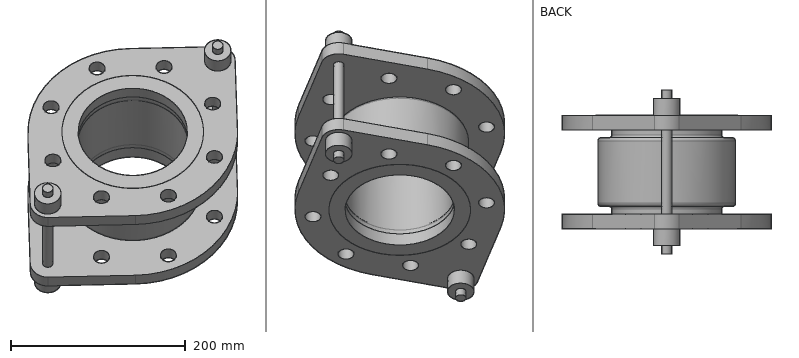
import cadquery as cq
import math

rod_length = 188.0
rod_end_projection = 9.7
nut_height = 19.5
flange_thickness = 16.8
nut_outer_z = rod_length / 2 - rod_end_projection
flange_outer_z = nut_outer_z - nut_height
flange_inner_z = flange_outer_z - flange_thickness

overall_length = 323.0
lug_radius = 20.0
side_angle = 45.0
lug_y = overall_length / 2 - lug_radius
flange_radius = lug_radius + lug_y * math.cos(math.radians(side_angle))

bolt_count = 8
bolt_circle_radius = 100.0
bolt_hole_diameter = 18.0

rod_diameter = 12.0
nut_diameter = 30.5

seal_face_diameter = 162.0
seal_face_height = 0.3

bore_diameter = 125.0
neck_diameter = 126.2
neck_radius = neck_diameter / 2
body_diameter = 158.0
body_radius = body_diameter / 2
body_height = 78.8
body_edge_fillet = 4.0
neck_root_fillet = 3.0


def flange(bottom_z):
    """Plate whose straight sides run tangent to the middle round and both lugs."""
    tangent_x = math.cos(math.radians(side_angle))
    tangent_y = math.sin(math.radians(side_angle))
    lug_x = lug_radius * tangent_x
    lug_side_y = lug_y + lug_radius * tangent_y
    middle_x = flange_radius * tangent_x
    middle_y = flange_radius * tangent_y
    plate = (
        cq.Workplane("XY", origin=(0, 0, bottom_z))
        .moveTo(middle_x, -middle_y)
        .threePointArc((flange_radius, 0), (middle_x, middle_y))
        .lineTo(lug_x, lug_side_y)
        .threePointArc((0, overall_length / 2), (-lug_x, lug_side_y))
        .lineTo(-middle_x, middle_y)
        .threePointArc((-flange_radius, 0), (-middle_x, -middle_y))
        .lineTo(-lug_x, -lug_side_y)
        .threePointArc((0, -overall_length / 2), (lug_x, -lug_side_y))
        .close()
        .extrude(flange_thickness)
    )
    bolt_holes = (
        cq.Workplane("XY", origin=(0, 0, bottom_z))
        .polarArray(bolt_circle_radius, 180 / bolt_count, 360, bolt_count)
        .circle(bolt_hole_diameter / 2)
        .extrude(flange_thickness)
    )
    return plate.cut(bolt_holes)


def joint_body():
    """Revolved barrel with rounded edges and a filleted neck at each end."""
    half_body = body_height / 2
    arc_middle = math.sqrt(0.5)
    edge_x = body_radius - body_edge_fillet
    edge_z = half_body - body_edge_fillet
    root_x = neck_radius + neck_root_fillet
    root_z = half_body + neck_root_fillet
    edge_middle = (edge_x + body_edge_fillet * arc_middle, edge_z + body_edge_fillet * arc_middle)
    root_middle = (root_x - neck_root_fillet * arc_middle, root_z - neck_root_fillet * arc_middle)
    upper_half = (
        cq.Workplane("XZ")
        .lineTo(body_radius, 0)
        .lineTo(body_radius, edge_z)
        .threePointArc(edge_middle, (edge_x, half_body))
        .lineTo(root_x, half_body)
        .threePointArc(root_middle, (neck_radius, root_z))
        .lineTo(neck_radius, flange_inner_z)
        .lineTo(0, flange_inner_z)
        .close()
        .revolve(360, (0, 0, 0), (0, 1, 0))
    )
    return upper_half.union(upper_half.mirror("XY"))


def cylinder(diameter, y, bottom_z, height):
    """Upright cylinder centred on X = 0."""
    return cq.Workplane("XY", origin=(0, y, bottom_z)).circle(diameter / 2).extrude(height)


def tie_rod(y):
    """Full-length rod with a round nut against the outer face of each flange."""
    rod = cylinder(rod_diameter, y, -rod_length / 2, rod_length)
    upper_nut = cylinder(nut_diameter, y, flange_outer_z, nut_height)
    lower_nut = cylinder(nut_diameter, y, -nut_outer_z, nut_height)
    return rod.union(upper_nut).union(lower_nut)


def seal_face(bottom_z):
    """Slightly raised round face around the bore on the outside of a flange."""
    return cylinder(seal_face_diameter, 0, bottom_z, seal_face_height)


seal_outer_z = flange_outer_z + seal_face_height
result = joint_body()
for flange_bottom_z in (flange_inner_z, -flange_outer_z):
    result = result.union(flange(flange_bottom_z))
for face_bottom_z in (flange_outer_z, -seal_outer_z):
    result = result.union(seal_face(face_bottom_z))
bore = cylinder(bore_diameter, 0, -seal_outer_z, 2 * seal_outer_z)
result = result.cut(bore)
for rod_y in (-lug_y, lug_y):
    result = result.union(tie_rod(rod_y))